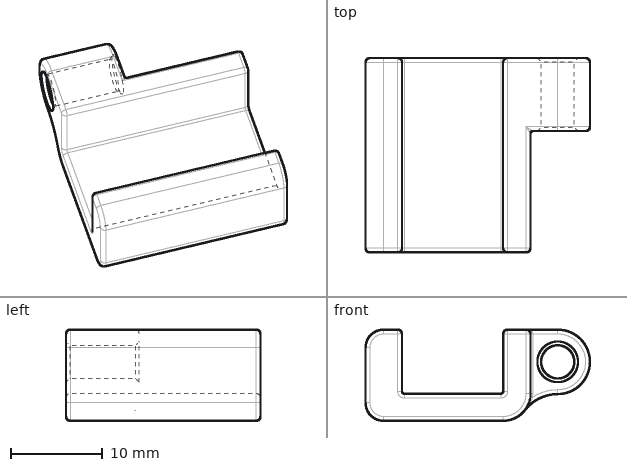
import cadquery as cq
import math

length_x = 24.55
depth_y = 21.25
height_z = 10.0

left_wall = 4.0
channel_width = 11.05
right_wall = 3.0
floor_thickness = 3.0
left_corner_radius = 2.0
channel_corner_radius = 0.25

lug_depth = 8.0
lug_radius = 3.54
lug_corner_radius = 0.25
hole_diameter = 3.6
hole_chamfer = 0.42

edge_radius = 0.5

channel_right = left_wall + channel_width
body_width = channel_right + right_wall
right_corner_radius = right_wall
lug_x = length_x - lug_radius
lug_z = height_z - lug_radius
lug_front = depth_y - lug_depth


def plane_at(y):
    """XZ sketch plane at the given Y; its normal points towards -Y."""
    return cq.Workplane("XZ", origin=(0, y, 0))


def make_body():
    """U-shaped channel, rounded outside and inside, with softened ends and wall tops."""
    block = plane_at(0).rect(body_width, height_z, centered=False).extrude(-depth_y)
    block = block.edges("|Y and <X").fillet(left_corner_radius)
    block = block.edges("|Y and >X and <Z").fillet(right_corner_radius)
    channel = (
        plane_at(0)
        .moveTo(left_wall, floor_thickness)
        .rect(channel_width, height_z, centered=False)
        .extrude(-depth_y)
        .edges("|Y and <Z")
        .fillet(channel_corner_radius)
    )
    return block.cut(channel).faces("<Y or >Y or >Z").edges().fillet(edge_radius)


def make_lug():
    """Round-ended lug whose underside sweeps tangentially into the body's lower right corner."""
    lug_bottom = lug_z - lug_radius
    run = lug_x - channel_right
    drop = right_corner_radius - lug_bottom
    sweep_radius = (run**2 + drop**2 - right_corner_radius**2) / (2 * (right_corner_radius - drop))
    sweep_z = lug_bottom - sweep_radius
    touch_angle = math.atan2(right_corner_radius - sweep_z, -run)
    middle_angle = (touch_angle + math.pi / 2) / 2

    def sweep_point(angle):
        return (lug_x + sweep_radius * math.cos(angle), sweep_z + sweep_radius * math.sin(angle))

    touch_x, touch_z = sweep_point(touch_angle)

    root_x = (channel_right + touch_x) / 2
    root_z = (right_corner_radius + touch_z) / 2

    lug = (
        plane_at(lug_front)
        .moveTo(root_x, height_z)
        .lineTo(lug_x, height_z)
        .threePointArc((length_x, lug_z), (lug_x, lug_bottom))
        .threePointArc(sweep_point(middle_angle), (touch_x, touch_z))
        .lineTo(root_x, root_z)
        .close()
        .extrude(-lug_depth)
    )
    return lug.faces("<Y or >Y").edges(">X").fillet(edge_radius)


def round_inside_corner(part):
    """Round the corner between the lug's front face and the right wall, top to bottom."""
    reach = 0.02
    corner = cq.selectors.BoxSelector(
        (body_width - reach, lug_front - reach, right_corner_radius),
        (body_width + reach, lug_front + reach, height_z),
    )
    return part.edges("|Z").edges(corner).fillet(lug_corner_radius)


def make_hole_cutter():
    """Through hole along the lug axis, chamfered wider at both mouths."""
    hole_radius = hole_diameter / 2
    mouth_radius = hole_radius + hole_chamfer
    half_section = [
        (0, lug_front),
        (mouth_radius, lug_front),
        (hole_radius, lug_front + hole_chamfer),
        (hole_radius, depth_y - hole_chamfer),
        (mouth_radius, depth_y),
        (0, depth_y),
    ]
    return (
        cq.Workplane("XY", origin=(lug_x, 0, lug_z))
        .polyline(half_section)
        .close()
        .revolve(360, (0, 0, 0), (0, 1, 0))
    )


body_with_lug = round_inside_corner(make_body().union(make_lug()))
result = body_with_lug.cut(make_hole_cutter())